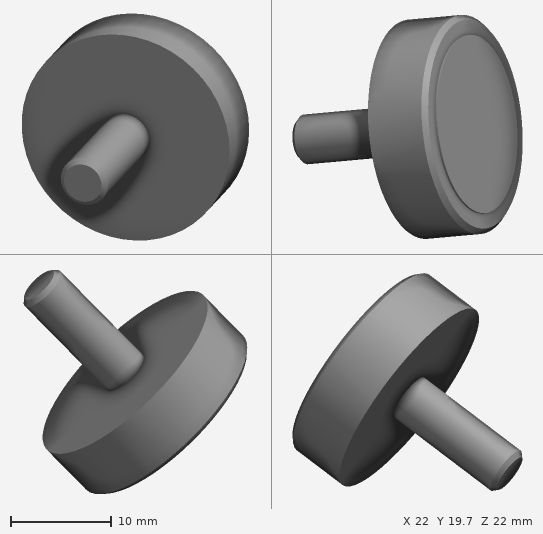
import cadquery as cq

head_diameter = 22.0
head_thickness = 6.5
chamfer_size = 0.5

stud_diameter = 5.0
stud_length = 13.0

pad_diameter = 17.9
pad_thickness = 0.2


def cylinder_along_y(diameter, start_y, length):
    """Cylinder on the Y axis, from start_y towards +Y."""
    plane = cq.Workplane("XZ", origin=(0, start_y, 0))
    return plane.circle(diameter / 2).extrude(-length)


def make_holder():
    """Head with a chamfered back rim, in one piece with a stud that has a chamfered tip."""
    head = cylinder_along_y(head_diameter, 0, head_thickness)
    head = head.faces(">Y").edges().chamfer(chamfer_size)
    stud = cylinder_along_y(stud_diameter, -stud_length, stud_length)
    stud = stud.faces("<Y").edges().chamfer(chamfer_size)
    return head.union(stud)


def make_pad():
    """Flat disc resting on the back face of the head."""
    return cylinder_along_y(pad_diameter, head_thickness, pad_thickness)


holder = make_holder()
pad = make_pad()

result = cq.Compound.makeCompound([holder.val(), pad.val()])